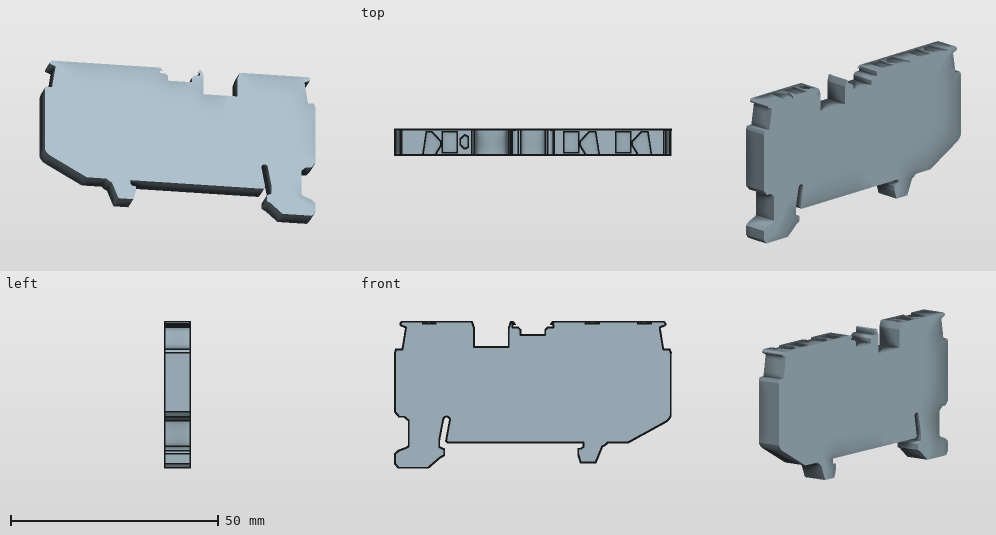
import cadquery as cq


total_length = 66.6
thickness = 6.2
height = 35.2
lip_reach = 0.05
body_length = total_length - lip_reach
rear_layer = 0.2

base_z = 6.05
side_shoulder_z = 28.6
groove_floor_z = 29.2
trough_floor_z = 32.05
ledge_z = 33.8
foot_notch_z = 12.25

overhang_tip_x = 1.25
overhang_root_x = 2.65
shoulder_inner_x = 1.8
shoulder_chamfer_width = 0.25
shoulder_chamfer_height = 0.8
groove_left_x = 19.1
groove_right_x = 27.45
groove_flare = 0.5
groove_flare_height = 1.5
post_wall_x = 28.3
post_chamfer = 0.2
trough_wall_x = 30.3
ledge_chamfer = 0.6

foot_inner_x = 3.3
foot_sole_x = 8.05
foot_toe_x = 11.9
slot_left_x = 10.7
slot_top_z = 12.3
slot_shoulder_z = 11.6

hook_neck_x = 45.4
hook_tip_x = 44.15
hook_sole_z = 1.25

pocket_depth = 0.45
pocket_rear_y = 5.6
window_length = 3.6
window_front_y = 0.5
wire_tip_gap = 0.4
left_entry_reach = 3.45
right_entry_reach = 3.7
terminal_pitch = 12.6
left_window_x = 11.45
right_window_x = 40.7


def mirrored(points):
    """Mirror outline points about the middle of the body, keeping the direction of travel."""
    return [(body_length - x, z) for x, z in reversed(points)]


left_end = [
    (0, side_shoulder_z - shoulder_chamfer_height),
    (shoulder_chamfer_width, side_shoulder_z),
    (shoulder_inner_x, side_shoulder_z),
    (overhang_root_x, ledge_z),
    (overhang_tip_x + 0.3, 34.2),
    (overhang_tip_x, 34.5),
    (overhang_tip_x, height - 0.45),
    (overhang_tip_x + 0.4, height),
]

marker_groove = [
    (groove_left_x - groove_flare, height),
    (groove_left_x, height - groove_flare_height),
    (groove_left_x, groove_floor_z),
    (groove_right_x, groove_floor_z),
    (groove_right_x, height - groove_flare_height),
    (groove_right_x + groove_flare, height),
]

trough_left = [
    (post_wall_x - post_chamfer, height),
    (post_wall_x, height - post_chamfer),
    (post_wall_x, ledge_z),
    (trough_wall_x - ledge_chamfer, ledge_z),
    (trough_wall_x, ledge_z - ledge_chamfer),
    (trough_wall_x, trough_floor_z),
]

top_outline = left_end + marker_groove + trough_left + mirrored(trough_left) + mirrored(left_end)

rail_hook = [
    (56.2, base_z),
    (51.35, base_z),
    (50.7, 5.45),
    (50.0, 5.1),
    (48.4, hook_sole_z),
    (44.75, hook_sole_z),
    (hook_tip_x, 3.3),
    (hook_tip_x, 4.6),
    (44.9, 4.6),
    (hook_neck_x, 5.05),
    (hook_neck_x, base_z),
]

slot_right_side = [
    (12.7, base_z),
    (12.3, 6.5),
    (13.25, slot_shoulder_z),
]

rail_foot = [
    (slot_left_x, 6.7),
    (slot_left_x, 5.0),
    (foot_toe_x, 4.45),
    (foot_toe_x, 3.0),
    (11.0, 2.5),
    (foot_sole_x, 0),
    (0.8, 0),
    (0, 1.0),
    (0, 3.3),
    (0.85, 4.1),
    (2.8, 4.85),
    (foot_inner_x, 5.2),
    (foot_inner_x, 11.4),
    (2.25, foot_notch_z),
    (1.05, foot_notch_z),
    (0, 13.45),
]


def make_housing():
    """Side outline over the full thickness, with a rounded lower right corner and slot end."""
    outline = cq.Workplane("XZ").polyline(top_outline)
    outline = outline.lineTo(body_length, 12.5).threePointArc((65.95, 11.6), (65.1, 10.9))
    for point in rail_hook + slot_right_side:
        outline = outline.lineTo(*point)
    outline = outline.threePointArc((12.45, slot_top_z), (11.65, slot_shoulder_z))
    for point in rail_foot:
        outline = outline.lineTo(*point)
    return outline.close().extrude(-thickness)


def rear_plate(points):
    """Plate of the given XZ outline, as thick as the rear layer and flush with the rear face."""
    plate = cq.Workplane("XZ", origin=(0, thickness - rear_layer, 0))
    return plate.polyline(points).close().extrude(-rear_layer)


beak = [
    (post_wall_x - post_chamfer, height),
    (post_wall_x + 0.1, height),
    (post_wall_x + 0.65, height - 0.65),
    (post_wall_x + 0.4, height - 0.6),
    (post_wall_x, height - 0.8),
    (post_wall_x - post_chamfer, height - 0.8),
]

lip_tip_z = side_shoulder_z - shoulder_chamfer_height
lip_root_z = lip_tip_z - 0.1
right_shoulder_x = body_length - shoulder_inner_x
shoulder_relief = [
    (right_shoulder_x, side_shoulder_z),
    (total_length, side_shoulder_z),
    (total_length, lip_tip_z),
]
rear_lip = [
    (right_shoulder_x, side_shoulder_z),
    (total_length, lip_tip_z),
    (body_length, lip_root_z),
    (right_shoulder_x, lip_root_z),
]


def top_pocket(points):
    """Shallow cutter of the given XY outline, sunk from the top face."""
    pocket = cq.Workplane("XY", origin=(0, 0, height - pocket_depth))
    return pocket.polyline(points).close().extrude(pocket_depth)


def window(left_x):
    """Rectangular window that gives access to a clamp."""
    right_x = left_x + window_length
    return top_pocket([
        (left_x, window_front_y),
        (right_x, window_front_y),
        (right_x, pocket_rear_y),
        (left_x, pocket_rear_y),
    ])


def wire_entry(tip_x, side, far_side_reach):
    """Pointed wire entry, open at the front face; side is +1 if it extends to +X from its tip, else -1."""
    outline = [
        (1.3, 0),
        (0, 2.25),
        (0, 3.3),
        (2.1, pocket_rear_y),
        (far_side_reach, pocket_rear_y),
        (far_side_reach + 0.85, 0),
    ]
    return top_pocket([(tip_x + side * reach, y) for reach, y in outline])


def test_point():
    """Small six-sided test opening beside the left window."""
    left_x = 15.7
    middle_x = 16.85
    right_x = 17.7
    return top_pocket([
        (left_x, 2.5),
        (middle_x, 1.45),
        (right_x, 1.9),
        (right_x, 4.4),
        (middle_x, 4.85),
        (left_x, 3.85),
    ])


result = make_housing()
result = result.cut(rear_plate(shoulder_relief))
for plate_outline in (beak, mirrored(beak), rear_lip):
    result = result.union(rear_plate(plate_outline))

result = result.cut(window(left_window_x))
result = result.cut(wire_entry(left_window_x - wire_tip_gap, -1, left_entry_reach))
result = result.cut(test_point())

for window_x in (right_window_x, right_window_x + terminal_pitch):
    result = result.cut(window(window_x))
    result = result.cut(wire_entry(window_x + window_length + wire_tip_gap, 1, right_entry_reach))